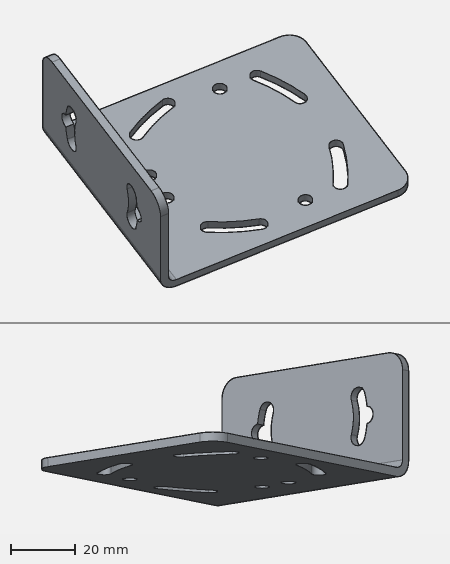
import cadquery as cq
import math

width = 75.0
depth = 90.0
height = 40.0
thickness = 2.9
bend_outer_radius = 5.6
bend_inner_radius = bend_outer_radius - thickness
corner_radius = 6.0

hole_radius = 2.25
side_hole_x = 27.2
side_hole_y = 57.0
front_hole_x = 5.5
front_hole_y = 20.0
plate_slot_path_radius = 59.1
plate_slot_half_width = 2.25
plate_slot_sweep = 16.0
back_slot_start = 106.7
side_slot_start = 196.8

flange_slot_path_radius = 20.0
flange_slot_half_width = 2.9
flange_slot_half_sweep = 18.3
flange_center_z = 21.5
notch_x = 22.5
notch_radius = 2.7


def arc_slot(plane, center, path_radius, half_width, start, sweep, length):
    """Slot of constant width with round ends, following an arc; angles in degrees."""

    def at(radius, angle):
        return (
            center[0] + radius * math.cos(math.radians(angle)),
            center[1] + radius * math.sin(math.radians(angle)),
        )

    inner = path_radius - half_width
    outer = path_radius + half_width
    middle = start + sweep / 2
    end = start + sweep
    band = (
        cq.Workplane(plane)
        .moveTo(*at(inner, start))
        .threePointArc(at(inner, middle), at(inner, end))
        .lineTo(*at(outer, end))
        .threePointArc(at(outer, middle), at(outer, start))
        .close()
        .extrude(length)
    )
    ends = [at(path_radius, start), at(path_radius, end)]
    return band.union(cq.Workplane(plane).pushPoints(ends).circle(half_width).extrude(length))


def bent_sheet():
    """L-shaped sheet with a rounded bend and rounded free corners."""
    sheet = (
        cq.Workplane("YZ")
        .moveTo(bend_outer_radius, 0)
        .lineTo(depth, 0)
        .lineTo(depth, thickness)
        .lineTo(bend_outer_radius, thickness)
        .radiusArc((thickness, bend_outer_radius), bend_inner_radius)
        .lineTo(thickness, height)
        .lineTo(0, height)
        .lineTo(0, bend_outer_radius)
        .radiusArc((bend_outer_radius, 0), -bend_outer_radius)
        .close()
        .extrude(width / 2, both=True)
    )
    sheet = sheet.faces(">Y").edges("|Z").fillet(corner_radius)
    return sheet.faces(">Z").edges("|Y").fillet(corner_radius)


def plate_cuts():
    """Pivot holes and the arc slots on the left half of the plate."""
    holes = (
        cq.Workplane("XY")
        .pushPoints([(-side_hole_x, side_hole_y), (-front_hole_x, front_hole_y)])
        .circle(hole_radius)
        .extrude(thickness)
    )
    slots = [
        ((front_hole_x, front_hole_y), back_slot_start),
        ((side_hole_x, side_hole_y), side_slot_start),
    ]
    cuts = holes
    for pivot, start in slots:
        cuts = cuts.union(
            arc_slot("XY", pivot, plate_slot_path_radius, plate_slot_half_width,
                     start, plate_slot_sweep, thickness)
        )
    return cuts


def flange_cuts():
    """Arc slot and its notch on the left half of the flange."""
    slot = arc_slot("XZ", (0, flange_center_z), flange_slot_path_radius, flange_slot_half_width,
                    180 - flange_slot_half_sweep, 2 * flange_slot_half_sweep, -thickness)
    notch = (
        cq.Workplane("XZ")
        .center(-notch_x, flange_center_z)
        .circle(notch_radius)
        .extrude(-thickness)
    )
    return slot.union(notch)


result = bent_sheet()
for cuts in (plate_cuts(), flange_cuts()):
    result = result.cut(cuts).cut(cuts.mirror("YZ"))